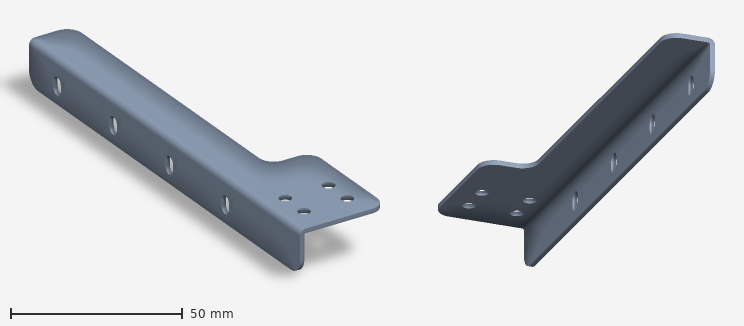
import cadquery as cq

length = 145.0
width = 30.0
height = 15.0
thickness = 1.5
bend_outer_radius = 2.0
bend_inner_radius = bend_outer_radius - thickness

arm_width = 15.0
pad_length = 40.0
corner_radius = 5.0

pad_hole_diameter = 4.0
pad_hole_pitch_x = 10.0
pad_hole_pitch_y = 15.0
pad_hole_end_distance = 9.5
pad_hole_edge_distance = 7.5

slot_count = 4
slot_pitch = 30.0
slot_first_x = 15.0
slot_width = 4.0
slot_height = 6.0
slot_depth_below_top = 9.0


def make_angle():
    """L-shaped sheet profile with a rounded bend, extruded along X."""
    profile = (
        cq.Workplane("YZ")
        .moveTo(0, 0)
        .lineTo(thickness, 0)
        .lineTo(thickness, height - thickness)
        .lineTo(width, height - thickness)
        .lineTo(width, height)
        .lineTo(0, height)
        .close()
        .extrude(length)
    )
    inner_edge = cq.selectors.NearestToPointSelector((length / 2, thickness, height - thickness))
    outer_edge = cq.selectors.NearestToPointSelector((length / 2, 0, height))
    return profile.edges(inner_edge).fillet(bend_inner_radius).edges(outer_edge).fillet(bend_outer_radius)


def make_top_outline():
    """Plan outline with rounded corners along the free edge of the top flange."""
    step_x = length - pad_length
    return (
        cq.Workplane("XY")
        .moveTo(0, 0)
        .lineTo(length, 0)
        .lineTo(length, width)
        .lineTo(step_x, width)
        .lineTo(step_x, arm_width)
        .lineTo(0, arm_width)
        .close()
        .extrude(height)
        .edges("|Z and (not <Y)")
        .fillet(corner_radius)
    )


def make_front_outline():
    """Elevation outline with the two lower corners rounded."""
    return (
        cq.Workplane("XY")
        .box(length, width, height, centered=False)
        .edges("|Y and <Z")
        .fillet(corner_radius)
    )


def make_pad_holes():
    """Cutters for the two by two group of round holes in the pad."""
    center_x = length - pad_hole_end_distance - pad_hole_pitch_x / 2
    center_y = width - pad_hole_edge_distance - pad_hole_pitch_y / 2
    return (
        cq.Workplane("XY")
        .center(center_x, center_y)
        .rarray(pad_hole_pitch_x, pad_hole_pitch_y, 2, 2)
        .circle(pad_hole_diameter / 2)
        .extrude(height)
    )


def make_slots():
    """Cutters for the row of upright slots in the hanging flange."""
    slot_z = height - slot_depth_below_top
    centers = [(slot_first_x + i * slot_pitch, slot_z) for i in range(slot_count)]
    return (
        cq.Workplane("XZ")
        .pushPoints(centers)
        .slot2D(slot_height, slot_width, 90)
        .extrude(-thickness)
    )


result = (
    make_angle()
    .intersect(make_top_outline())
    .intersect(make_front_outline())
    .cut(make_pad_holes())
    .cut(make_slots())
)